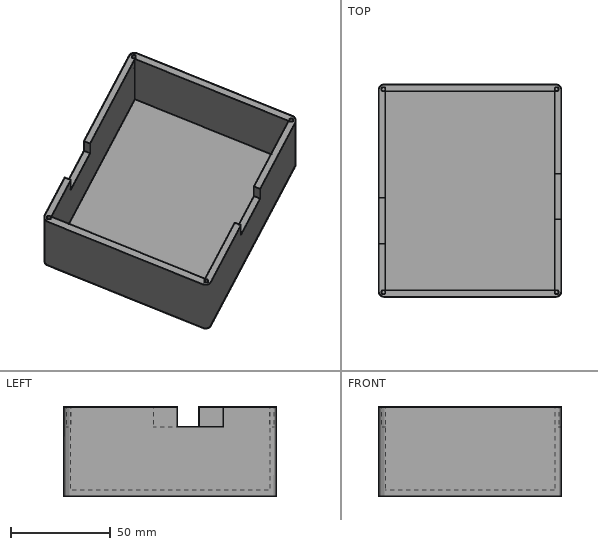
import cadquery as cq

width = 92.0
length = 107.0
height = 45.0
wall = 3.4
floor = wall
corner_radius = 3.0

hole_diameter = 2.0
hole_inset = 2.5
hole_depth = 10.0

notch_length = 23.0
notch_depth = 10.0
left_notch_y = -15.2
right_notch_y = -3.0


def make_box():
    """Rounded box, open at the top, with a sharp-cornered cavity."""
    body = (
        cq.Workplane("XY")
        .box(width, length, height, centered=(True, True, False))
        .edges("|Z")
        .fillet(corner_radius)
    )
    cavity = (
        cq.Workplane("XY")
        .workplane(offset=floor)
        .rect(width - 2 * wall, length - 2 * wall)
        .extrude(height - floor)
    )
    return body.cut(cavity)


def make_notch(side, center_y):
    """Cutter through one side wall; side is -1 for left, +1 for right."""
    wall_center_x = side * (width - wall) / 2
    return (
        cq.Workplane("XY")
        .workplane(offset=height - notch_depth)
        .center(wall_center_x, center_y)
        .rect(wall, notch_length)
        .extrude(notch_depth)
    )


def make_screw_holes():
    """Four blind holes going down from the rim, one in each corner."""
    return (
        cq.Workplane("XY")
        .workplane(offset=height - hole_depth)
        .rect(width - 2 * hole_inset, length - 2 * hole_inset, forConstruction=True)
        .vertices()
        .circle(hole_diameter / 2)
        .extrude(hole_depth)
    )


result = (
    make_box()
    .cut(make_notch(-1, left_notch_y))
    .cut(make_notch(1, right_notch_y))
    .cut(make_screw_holes())
)